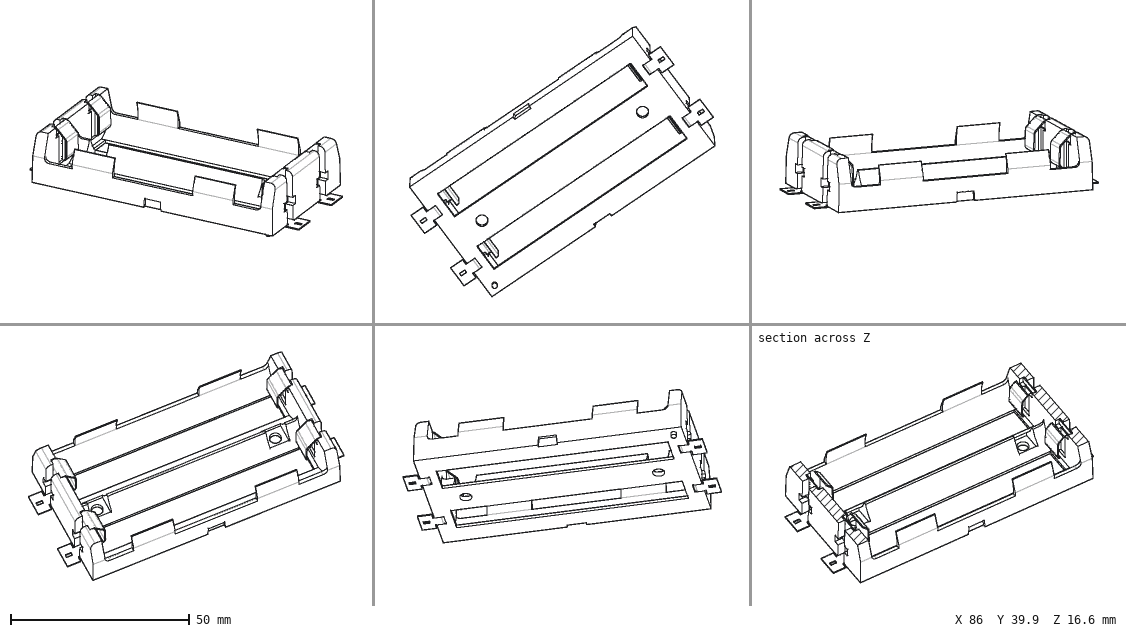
import cadquery as cq
import math

HOUSING_LENGTH = 77.0
HOUSING_WIDTH = 39.9
HOUSING_HEIGHT = 15.0
DRAFT = 1.0
END_ROUND = 1.55
SHOULDER_HEIGHT = 8.2
TOP_HALF_WIDTH = 17.55
INNER_HALF_LENGTH = 34.6
RIM_HEIGHT = 6.9
RIM_FILLET = 1.5

CELL_Y = 9.55
CELL_AXIS_HEIGHT = 9.55
TROUGH_RADIUS = 9.55
OPENING_WIDTH = 8.25
OPENING_HALF_LENGTH = 33.3
END_BAR_TOP = 0.95

CLIP_X = 19.3
CLIP_LENGTH = 12.9
CLIP_HEIGHT = 12.3
CLIP_TIP_THICKNESS = 0.35
CLIP_BULGE = 0.35

SEAT_X = 27.7
SEAT_LENGTH = 6.2
SEAT_WIDTH = 6.0
SEAT_FLOOR = 1.4
SCREW_HOLE_DIAMETER = 3.35
NOTCH_BASE_WIDTH = 5.5
NOTCH_TOP_WIDTH = 5.1
NOTCH_HEIGHT = 2.75
NOTCH_DEPTH = 0.9
PEG_X = 35.8
PEG_Y = -17.5
PEG_RADIUS = 0.8
PEG_SHANK = 1.0
PEG_LENGTH = 1.6

SHEET = 0.35
CONTACT_REACH = 43.0
CONTACT_WIDTH = 6.5
NECK_WIDTH = 3.35
NECK_FACE_X = 36.0
FOOT_BEND = 0.6
TAB_INNER_X = 38.9
TAB_HOLE_X = 41.0
TAB_HOLE_LENGTH = 1.8
TAB_HOLE_WIDTH = 0.9
LUG_BOTTOM = 4.65
LUG_TOP = 6.9
SPRING_BOTTOM = 11.7
CREST_START = 13.5
CREST_BEND = 1.0
CREST_ANGLE = 135.0
RAMP_LENGTH = 3.35
KNEE_BEND = 1.2
KNEE_ANGLE = 43.5
LEG_LENGTH = 4.4
TOE_BEND = 1.3
TOE_ANGLE = 60.0

WINDOW_TOP = 7.1
WEB_THICKNESS = 0.35
INNER_SLOT_FLOOR = 2.9

neck_inner_x = NECK_FACE_X - SHEET
neck_middle_x = NECK_FACE_X - SHEET / 2


def block(x_range, y_middle, width, z_range):
    """A box between two X values and two heights, centred on y_middle."""
    length = x_range[1] - x_range[0]
    height = z_range[1] - z_range[0]
    corner = cq.Workplane("XY").box(length, width, height, centered=(False, True, False))
    return corner.translate((x_range[0], y_middle, z_range[0]))


def half_width_at(height):
    """Half width of the housing at a height, along its drafted and leaning sides."""
    draft_slope = math.tan(math.radians(DRAFT))
    if height <= SHOULDER_HEIGHT:
        return HOUSING_WIDTH / 2 - height * draft_slope
    shoulder = HOUSING_WIDTH / 2 - SHOULDER_HEIGHT * draft_slope
    lean = (shoulder - TOP_HALF_WIDTH) / (HOUSING_HEIGHT - SHOULDER_HEIGHT)
    return shoulder - lean * (height - SHOULDER_HEIGHT)


def outer_block():
    """Drafted block with rounded ends and leaning upper sides."""
    body = cq.Workplane("XY").rect(HOUSING_LENGTH, HOUSING_WIDTH).extrude(HOUSING_HEIGHT, taper=DRAFT)
    body = body.faces(">Z").edges("|Y").fillet(END_ROUND)
    shoulder = half_width_at(SHOULDER_HEIGHT)
    lean_outline = [
        (-HOUSING_WIDTH, 0),
        (HOUSING_WIDTH, 0),
        (HOUSING_WIDTH, SHOULDER_HEIGHT),
        (shoulder, SHOULDER_HEIGHT),
        (TOP_HALF_WIDTH, HOUSING_HEIGHT),
        (-TOP_HALF_WIDTH, HOUSING_HEIGHT),
        (-shoulder, SHOULDER_HEIGHT),
        (-HOUSING_WIDTH, SHOULDER_HEIGHT),
    ]
    envelope = cq.Workplane("YZ").polyline(lean_outline).close().extrude(HOUSING_LENGTH / 2, both=True)
    return body.intersect(envelope)


def space_between_end_walls():
    """Everything above the rims, with filleted lower corners at the end walls."""
    space = block(
        (-INNER_HALF_LENGTH, INNER_HALF_LENGTH), 0, HOUSING_WIDTH, (RIM_HEIGHT, HOUSING_HEIGHT)
    )
    return space.faces("<Z").edges("|Y").fillet(RIM_FILLET)


def trough(y):
    """Round bed of one cell, with the window through its floor."""
    cell = (
        cq.Workplane("YZ")
        .center(y, CELL_AXIS_HEIGHT)
        .circle(TROUGH_RADIUS)
        .extrude(INNER_HALF_LENGTH, both=True)
    )
    bed_floor = block(
        (-INNER_HALF_LENGTH, INNER_HALF_LENGTH), y, 2 * TROUGH_RADIUS, (END_BAR_TOP, HOUSING_HEIGHT)
    )
    window = block(
        (-OPENING_HALF_LENGTH, OPENING_HALF_LENGTH), y, OPENING_WIDTH, (0, CELL_AXIS_HEIGHT)
    )
    return cell.intersect(bed_floor).union(window)


def clip(x, side):
    """Thin finger on a side rim, flat outside and curved inside, leaning over the cell."""
    rim_drop = CELL_AXIS_HEIGHT - RIM_HEIGHT
    rim_inner = CELL_Y + math.sqrt(TROUGH_RADIUS**2 - rim_drop**2)
    tip_outer = half_width_at(CLIP_HEIGHT)
    tip_inner = tip_outer - CLIP_TIP_THICKNESS
    middle = ((rim_inner + tip_inner) / 2 + CLIP_BULGE, (RIM_HEIGHT + CLIP_HEIGHT) / 2)
    finger = (
        cq.Workplane("YZ")
        .moveTo(rim_inner, RIM_HEIGHT)
        .lineTo(half_width_at(RIM_HEIGHT), RIM_HEIGHT)
        .lineTo(half_width_at(SHOULDER_HEIGHT), SHOULDER_HEIGHT)
        .lineTo(tip_outer, CLIP_HEIGHT)
        .lineTo(tip_inner, CLIP_HEIGHT)
        .threePointArc(middle, (rim_inner, RIM_HEIGHT))
        .close()
        .extrude(CLIP_LENGTH / 2, both=True)
    )
    if side < 0:
        finger = finger.mirror("XZ")
    return finger.translate((x, 0, 0))


def screw_seat(x):
    """Square recess in the middle ridge with a screw hole through its floor."""
    recess = block(
        (x - SEAT_LENGTH / 2, x + SEAT_LENGTH / 2), 0, SEAT_WIDTH, (SEAT_FLOOR, HOUSING_HEIGHT)
    )
    hole = cq.Workplane("XY").center(x, 0).circle(SCREW_HOLE_DIAMETER / 2).extrude(SEAT_FLOOR)
    return recess.union(hole)


def side_notches():
    """Tapered recess at the foot of each long side."""
    outline = [
        (-NOTCH_BASE_WIDTH / 2, 0),
        (NOTCH_BASE_WIDTH / 2, 0),
        (NOTCH_TOP_WIDTH / 2, NOTCH_HEIGHT),
        (-NOTCH_TOP_WIDTH / 2, NOTCH_HEIGHT),
    ]
    front = (
        cq.Workplane("XZ", origin=(0, NOTCH_DEPTH - HOUSING_WIDTH / 2, 0))
        .polyline(outline)
        .close()
        .extrude(NOTCH_DEPTH)
    )
    return front.union(front.mirror("XZ"))


def locating_peg():
    """Round peg under one corner, with a domed tip."""
    dome_height = PEG_LENGTH - PEG_SHANK
    dome_radius = (PEG_RADIUS**2 + dome_height**2) / (2 * dome_height)
    return (
        cq.Workplane("XZ")
        .lineTo(PEG_RADIUS, 0)
        .lineTo(PEG_RADIUS, -PEG_SHANK)
        .radiusArc((0, -PEG_LENGTH), dome_radius)
        .close()
        .revolve(360, (0, 0), (0, 1))
        .translate((PEG_X, PEG_Y, 0))
    )


def contact_seat(y):
    """Slots in the -X end wall for the neck, lugs and spring of one contact."""
    outside = -HOUSING_LENGTH / 2
    outer_slot = block((outside, -neck_inner_x), y, NECK_WIDTH, (0, HOUSING_HEIGHT))
    lug_window = block((outside, -neck_inner_x), y, CONTACT_WIDTH, (LUG_BOTTOM, WINDOW_TOP))
    inner_slot = block(
        (WEB_THICKNESS - neck_inner_x, -INNER_HALF_LENGTH), y, NECK_WIDTH, (INNER_SLOT_FLOOR, SPRING_BOTTOM)
    )
    spring_pocket = block(
        (-NECK_FACE_X, -INNER_HALF_LENGTH), y, CONTACT_WIDTH, (SPRING_BOTTOM, HOUSING_HEIGHT)
    )
    return outer_slot.union(lug_window).union(inner_slot).union(spring_pocket)


def make_housing():
    body = outer_block().cut(space_between_end_walls())
    for y in (-CELL_Y, CELL_Y):
        seat = contact_seat(y)
        body = body.cut(trough(y)).cut(seat).cut(seat.mirror("YZ"))
    for x in (-CLIP_X, CLIP_X):
        for side in (-1, 1):
            body = body.union(clip(x, side))
    for x in (-SEAT_X, SEAT_X):
        body = body.cut(screw_seat(x))
    return body.cut(side_notches()).union(locating_peg())


def bent_strip(start, heading, moves, width):
    """Sheet strip that follows straight runs and bends in the XZ plane.

    heading is the first direction in degrees above +X. Each move is ("run", length)
    or ("bend", radius, angle), where a positive angle turns clockwise.
    """
    x, z = start
    path = cq.Workplane("XZ").moveTo(x, z)
    first_heading = heading
    for move in moves:
        if move[0] == "run":
            x += move[1] * math.cos(math.radians(heading))
            z += move[1] * math.sin(math.radians(heading))
            path = path.lineTo(x, z)
        else:
            radius, angle = move[1:]
            chord = 2 * radius * math.sin(math.radians(abs(angle) / 2))
            chord_heading = math.radians(heading - angle / 2)
            x += chord * math.cos(chord_heading)
            z += chord * math.sin(chord_heading)
            path = path.tangentArcPoint((x, z), relative=False)
            heading -= angle
    direction = math.radians(first_heading)
    section = cq.Plane(
        origin=(start[0], 0, start[1]),
        xDir=(0, 1, 0),
        normal=(math.cos(direction), 0, math.sin(direction)),
    )
    return cq.Workplane(section).rect(width, SHEET).sweep(path)


def make_contact():
    """Contact for the -X end, centred on Y = 0."""
    tab = block((-CONTACT_REACH, -TAB_INNER_X), 0, CONTACT_WIDTH, (0, SHEET))
    hole_start = -TAB_HOLE_X - TAB_HOLE_LENGTH / 2
    hole = block((hole_start, hole_start + TAB_HOLE_LENGTH), 0, TAB_HOLE_WIDTH, (0, SHEET))
    neck = bent_strip(
        (-TAB_INNER_X, SHEET / 2),
        0,
        [
            ("run", TAB_INNER_X - neck_middle_x - FOOT_BEND),
            ("bend", FOOT_BEND, -90),
            ("run", SPRING_BOTTOM - SHEET / 2 - FOOT_BEND),
        ],
        NECK_WIDTH,
    )
    lugs = block((-NECK_FACE_X, -neck_inner_x), 0, CONTACT_WIDTH, (LUG_BOTTOM, LUG_TOP))
    spring = bent_strip(
        (-neck_middle_x, SPRING_BOTTOM),
        90,
        [
            ("run", CREST_START - SPRING_BOTTOM),
            ("bend", CREST_BEND, CREST_ANGLE),
            ("run", RAMP_LENGTH),
            ("bend", KNEE_BEND, KNEE_ANGLE),
            ("run", LEG_LENGTH),
            ("bend", TOE_BEND, TOE_ANGLE),
        ],
        CONTACT_WIDTH,
    )
    return tab.cut(hole).union(neck).union(lugs).union(spring).clean()


housing = make_housing()

contacts = []
for contact_y in (-CELL_Y, CELL_Y):
    near_contact = make_contact().translate((0, contact_y, 0))
    contacts.append(near_contact.val())
    contacts.append(near_contact.mirror("YZ").val())

result = cq.Compound.makeCompound([housing.val(), *contacts])